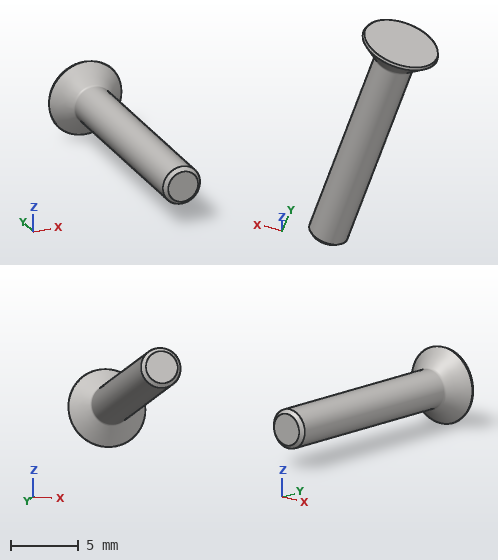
import cadquery as cq
import math

LENGTH = 18.0
SHANK_RADIUS = 3.0 / 2
HEAD_RADIUS = 5.85 / 2
RIM_HEIGHT = 0.22
RIM_TAPER = 0.08
RIM_FACE_RADIUS = HEAD_RADIUS - RIM_TAPER
CONE_ANGLE = math.radians(45)
NECK_FILLET = 0.3
TIP_CHAMFER = 0.3


def screw_profile():
    """Half section in the XY plane, with the neck fillet tangent to cone and shank."""
    cone_end_radius = SHANK_RADIUS + NECK_FILLET * (1 - math.cos(CONE_ANGLE))
    cone_end_y = -RIM_HEIGHT - (HEAD_RADIUS - cone_end_radius) / math.tan(CONE_ANGLE)
    shank_start_y = cone_end_y - NECK_FILLET * math.sin(CONE_ANGLE)
    half_angle = CONE_ANGLE / 2
    fillet_middle = (
        SHANK_RADIUS + NECK_FILLET * (1 - math.cos(half_angle)),
        shank_start_y + NECK_FILLET * math.sin(half_angle),
    )
    return (
        cq.Workplane("XY")
        .moveTo(0, 0)
        .lineTo(RIM_FACE_RADIUS, 0)
        .lineTo(HEAD_RADIUS, -RIM_HEIGHT)
        .lineTo(cone_end_radius, cone_end_y)
        .threePointArc(fillet_middle, (SHANK_RADIUS, shank_start_y))
        .lineTo(SHANK_RADIUS, -LENGTH + TIP_CHAMFER)
        .lineTo(SHANK_RADIUS - TIP_CHAMFER, -LENGTH)
        .lineTo(0, -LENGTH)
        .close()
    )


result = screw_profile().revolve(360, (0, 0, 0), (0, 1, 0))